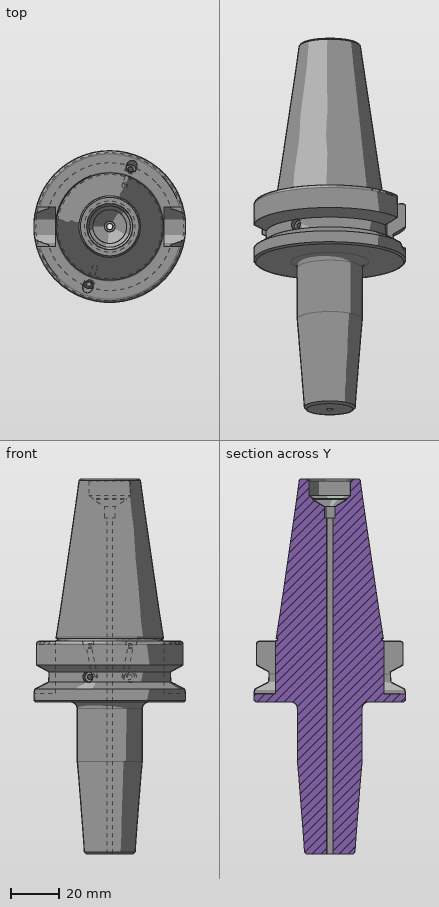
import cadquery as cq
import math

total_height = 155.4
nose_cone_top = 38.4
flange_bottom = 63.0
flange_thickness = 25.3
gauge_gap = 1.7
flange_top = flange_bottom + flange_thickness
gauge_plane = flange_top + gauge_gap

nose_radius = 10.5
neck_radius = 13.5
nose_chamfer = 1.0
neck_fillet = 2.6

flange_diameter = 63.0
flange_radius = flange_diameter / 2
flange_top_fillet = 1.4
flange_bottom_chamfer = 0.8
groove_floor_diameter = 53.0
groove_floor_radius = groove_floor_diameter / 2
groove_floor_height = 4.2
groove_center_drop = 14.9
groove_side_angle = 30.0
groove_center = flange_top - groove_center_drop
groove_side_height = (flange_radius - groove_floor_radius) * math.tan(math.radians(groove_side_angle))

taper_top_radius = 12.7
taper_gauge_radius = 22.2
taper_chamfer = 0.6
relief_radius = 21.6
relief_fillet = 1.0
relief_height = 1.1

bore_radius = 8.5
bore_chamfer = 1.0
bore_depth = 6.8
step_depth = 8.1
thread_radius = 7.0
thread_depth = 8.5
pocket_radius = 2.2
pocket_depth = 4.7
drill_point_angle = 118.0
channel_radius = 1.2

slot_width = 16.3
slot_face = 22.5
slot_depth = 21.8

coolant_azimuth = 250.0
mouth_radius = 2.2
mouth_depth = 2.5
drilling_radius = 1.1
inlet_center_radius = 26.5
inlet_tilt = 30.0
groove_hole_length = 7.8


def make_body():
    """Revolve the outer profile about the tool axis."""
    half_floor = groove_floor_height / 2
    half_groove = half_floor + groove_side_height
    return (
        cq.Workplane("YZ")
        .lineTo(nose_radius - nose_chamfer, 0)
        .lineTo(nose_radius, nose_chamfer)
        .lineTo(neck_radius, nose_cone_top)
        .lineTo(neck_radius, flange_bottom - neck_fillet)
        .radiusArc((neck_radius + neck_fillet, flange_bottom), neck_fillet)
        .lineTo(flange_radius - flange_bottom_chamfer, flange_bottom)
        .lineTo(flange_radius, flange_bottom + flange_bottom_chamfer)
        .lineTo(flange_radius, groove_center - half_groove)
        .lineTo(groove_floor_radius, groove_center - half_floor)
        .lineTo(groove_floor_radius, groove_center + half_floor)
        .lineTo(flange_radius, groove_center + half_groove)
        .lineTo(flange_radius, flange_top - flange_top_fillet)
        .radiusArc((flange_radius - flange_top_fillet, flange_top), -flange_top_fillet)
        .lineTo(relief_radius + relief_fillet, flange_top)
        .radiusArc((relief_radius, flange_top + relief_fillet), relief_fillet)
        .lineTo(relief_radius, flange_top + relief_height)
        .lineTo(taper_gauge_radius, flange_top + relief_height)
        .lineTo(taper_gauge_radius, gauge_plane)
        .lineTo(taper_top_radius, total_height - taper_chamfer)
        .lineTo(taper_top_radius - taper_chamfer, total_height)
        .lineTo(0, total_height)
        .close()
        .revolve(360, (0, 0, 0), (0, 1, 0))
    )


def make_bore():
    """Revolve the stepped bore: entry bore, conical step, threaded bore, drill point, pocket and channel."""
    thread_bottom = total_height - thread_depth
    point_height = (thread_radius - pocket_radius) / math.tan(math.radians(drill_point_angle / 2))
    pocket_top = thread_bottom - point_height
    return (
        cq.Workplane("YZ")
        .lineTo(channel_radius, 0)
        .lineTo(channel_radius, pocket_top - pocket_depth)
        .lineTo(pocket_radius, pocket_top - pocket_depth)
        .lineTo(pocket_radius, pocket_top)
        .lineTo(thread_radius, thread_bottom)
        .lineTo(thread_radius, total_height - step_depth)
        .lineTo(bore_radius, total_height - bore_depth)
        .lineTo(bore_radius, total_height - bore_chamfer)
        .lineTo(bore_radius + bore_chamfer, total_height)
        .lineTo(0, total_height)
        .close()
        .revolve(360, (0, 0, 0), (0, 1, 0))
    )


def make_drive_slot():
    """Round-bottomed slot open to the flange top and to the +X side."""
    round_radius = slot_width / 2
    round_center = flange_top - slot_depth + round_radius
    return (
        cq.Workplane("YZ", origin=(slot_face, 0, 0))
        .moveTo(-round_radius, gauge_plane)
        .lineTo(-round_radius, round_center)
        .threePointArc((0, round_center - round_radius), (round_radius, round_center))
        .lineTo(round_radius, gauge_plane)
        .close()
        .extrude(flange_radius)
    )


def make_stepped_hole(mouth_center, direction, length):
    """Wide mouth followed by a narrow drilling; it starts early so that it clears the surface."""
    start = mouth_center - direction * mouth_radius
    mouth = cq.Solid.makeCylinder(mouth_radius, mouth_radius + mouth_depth, start, direction)
    drilling = cq.Solid.makeCylinder(drilling_radius, mouth_radius + length, start, direction)
    return mouth.fuse(drilling)


def make_coolant_holes():
    """Tilted inlet in the flange top, met by a radial hole from the groove floor (along +X)."""
    tilt = math.radians(inlet_tilt)
    inlet = make_stepped_hole(
        cq.Vector(inlet_center_radius, 0, flange_top),
        cq.Vector(-math.sin(tilt), 0, -math.cos(tilt)),
        (flange_top - groove_center) / math.cos(tilt),
    )
    groove_hole = make_stepped_hole(
        cq.Vector(groove_floor_radius, 0, groove_center),
        cq.Vector(-1, 0, 0),
        groove_hole_length,
    )
    return cq.Workplane(inlet.fuse(groove_hole))


result = make_body().cut(make_bore())
for side in (0, 180):
    drive_slot = make_drive_slot().rotate((0, 0, 0), (0, 0, 1), side)
    coolant_holes = make_coolant_holes().rotate((0, 0, 0), (0, 0, 1), coolant_azimuth + side)
    result = result.cut(drive_slot).cut(coolant_holes)